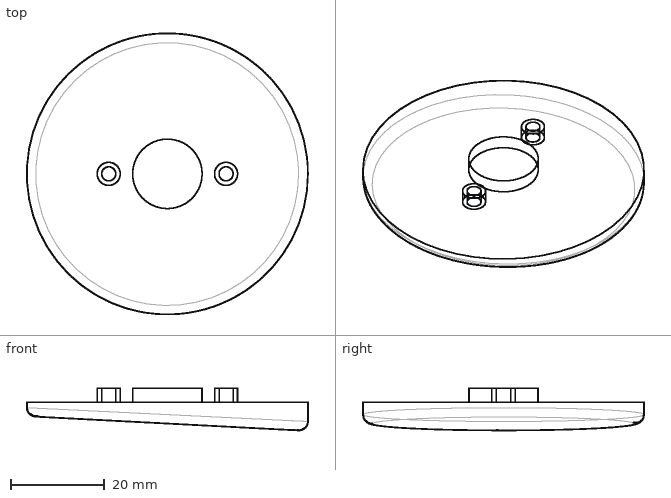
import cadquery as cq
import math

disc_diameter = 60.0
thin_edge = 3.0
slope_angle = 3.0
rim_fillet = 2.0

boss_height = 3.0
hub_diameter = 14.8
pin_diameter = 4.9
pin_hole_diameter = 3.0
pin_spacing = 25.0

disc_radius = disc_diameter / 2
thick_edge = thin_edge + disc_diameter * math.tan(math.radians(slope_angle))


def make_disc():
    """Round disc with a sloped underside and a rounded lower rim."""
    wedge = (
        cq.Workplane("XZ")
        .polyline([
            (-disc_radius, 0),
            (disc_radius, 0),
            (disc_radius, -thick_edge),
            (-disc_radius, -thin_edge),
        ])
        .close()
        .extrude(disc_radius, both=True)
    )
    cylinder = cq.Workplane("XY").circle(disc_radius).extrude(-thick_edge)
    return cylinder.intersect(wedge).faces("<Z").edges().fillet(rim_fillet)


def make_hub():
    return cq.Workplane("XY").circle(hub_diameter / 2).extrude(boss_height)


def make_hollow_pins():
    """Two tubular pins, open down to the top face of the disc."""
    return (
        cq.Workplane("XY")
        .pushPoints([(-pin_spacing / 2, 0), (pin_spacing / 2, 0)])
        .circle(pin_diameter / 2)
        .circle(pin_hole_diameter / 2)
        .extrude(boss_height)
    )


result = make_disc().union(make_hub()).union(make_hollow_pins())